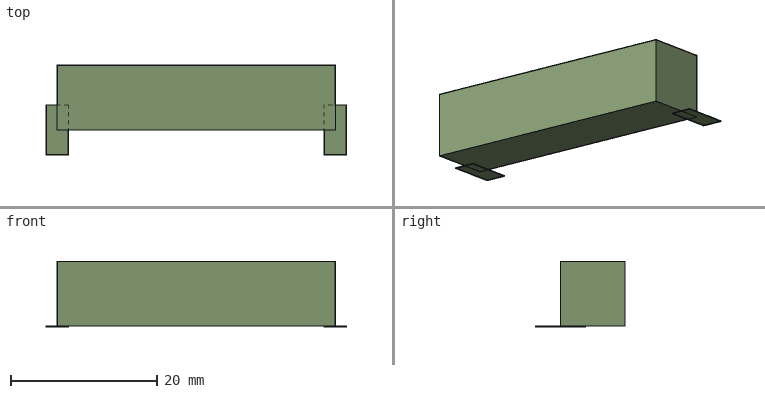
import cadquery as cq

overall_length = 41.15
overall_depth = 12.3

block_length = 38.1
block_depth = 8.9
block_height = 8.9

terminal_width = 3.05
terminal_length = 6.87
terminal_thickness = 0.1
terminal_x = (overall_length - terminal_width) / 2
terminal_front_y = block_depth / 2 - overall_depth


def make_block():
    return cq.Workplane("XY").box(block_length, block_depth, block_height, centered=(True, True, False))


def make_terminal(center_x):
    """Thin plate touching the block's underside and reaching out past its front and end."""
    plate = cq.Workplane("XY").box(
        terminal_width, terminal_length, terminal_thickness, centered=(True, False, False)
    )
    return plate.translate((center_x, terminal_front_y, -terminal_thickness))


block = make_block()
terminals = [make_terminal(side * terminal_x) for side in (-1, 1)]

result = cq.Compound.makeCompound([block.val(), *[terminal.val() for terminal in terminals]])